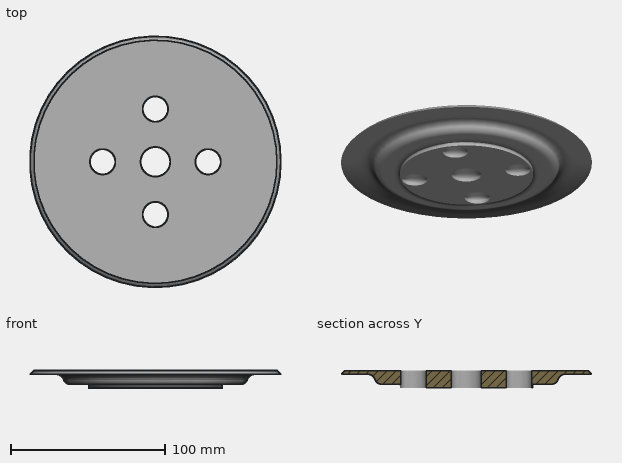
import cadquery as cq
import math

flange_diameter = 162.5
flange_thickness = 2.6
body_diameter = 119.0
body_curve_height = 3.3
body_curve_radius = 4.9
hub_diameter = 86.3
hub_height = 2.5
center_hole_diameter = 19.0
bolt_hole_diameter = 16.3
bolt_circle_radius = 34.1
bolt_hole_count = 4

flange_radius = flange_diameter / 2
body_radius = body_diameter / 2
hub_radius = hub_diameter / 2
body_bottom = hub_height
body_middle = body_bottom + body_curve_height
flange_bottom = body_middle + body_curve_height
flange_top = flange_bottom + flange_thickness


def make_disc():
    """Revolve the flange, the S-curved body and the hub as one profile."""
    turn = math.acos(1 - body_curve_height / body_curve_radius)
    curve_width = body_curve_radius * math.sin(turn)
    half_turn_width = body_curve_radius * math.sin(turn / 2)
    half_turn_height = body_curve_radius * (1 - math.cos(turn / 2))
    round_start = body_radius - curve_width
    fillet_end = body_radius + curve_width
    profile = (
        cq.Workplane("XZ")
        .moveTo(0, 0)
        .lineTo(hub_radius, 0)
        .lineTo(hub_radius, body_bottom)
        .lineTo(round_start, body_bottom)
        .threePointArc(
            (round_start + half_turn_width, body_bottom + half_turn_height),
            (body_radius, body_middle),
        )
        .threePointArc(
            (fillet_end - half_turn_width, flange_bottom - half_turn_height),
            (fillet_end, flange_bottom),
        )
        .lineTo(flange_radius, flange_bottom)
        .lineTo(flange_radius - flange_thickness, flange_top)
        .lineTo(0, flange_top)
        .close()
    )
    return profile.revolve(360, (0, 0, 0), (0, 1, 0))


def make_holes():
    """Through holes: one in the center and a ring of bolt holes around it."""
    center_hole = cq.Workplane("XY").circle(center_hole_diameter / 2).extrude(flange_top)
    bolt_holes = (
        cq.Workplane("XY")
        .polarArray(bolt_circle_radius, 0, 360, bolt_hole_count)
        .circle(bolt_hole_diameter / 2)
        .extrude(flange_top)
    )
    return center_hole.union(bolt_holes)


result = make_disc().cut(make_holes())